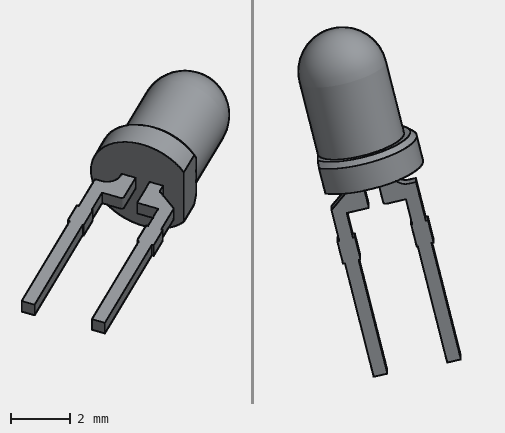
import cadquery as cq
import math


lens_radius = 1.5
housing_length = 5.2
flange_diameter = 3.8
flange_radius = flange_diameter / 2
flange_length = 1.1
flange_chamfer = 0.18
flat_x = lens_radius

lead_thickness = 0.5
lead_width = 0.48
lead_outer_x = lens_radius
lead_inner_x = lead_outer_x - lead_width
stem_inner_x = 0.26
elbow_y = -1.1
pad_front_y = -1.99
pad_back_y = -2.79

left_lead_length = 7.0
left_stem_outer_x = 0.77
left_shoulder_y = -0.59
shoulder_radius = 0.49
elbow_fillet = 0.1
left_pad_outer_step = 0.07
left_pad_inner_step = 0.04

right_lead_length = 6.9
right_stem_outer_x = 0.75
slope_start_y = -0.29
slope_end_y = -0.88
right_pad_step = 0.067


def make_housing():
    """Revolved flange, barrel and hemispherical lens, with a flat on the +X side of the flange."""
    dome_start_y = housing_length - lens_radius
    arc_offset = lens_radius * math.sqrt(0.5)
    profile = (
        cq.Workplane("XY")
        .lineTo(flange_radius, 0)
        .lineTo(flange_radius, flange_length - flange_chamfer)
        .lineTo(flange_radius - flange_chamfer, flange_length)
        .lineTo(lens_radius, flange_length)
        .lineTo(lens_radius, dome_start_y)
        .threePointArc((arc_offset, dome_start_y + arc_offset), (0, housing_length))
        .close()
    )
    body = profile.revolve(360, (0, 0, 0), (0, 1, 0))
    cut_width = flange_radius - flat_x
    flat_cutter = cq.Workplane("XY").box(
        cut_width, flange_length, 2 * flange_radius, centered=(False, False, True)
    ).translate((flat_x, 0, 0))
    return body.cut(flat_cutter)


def extrude_lead(outline):
    """Extrude a closed lead outline symmetrically about Z = 0."""
    return outline.extrude(lead_thickness / 2, both=True)


def make_pad(x_min, x_max):
    """Widened stretch of a lead."""
    outline = cq.Workplane("XY").moveTo(x_min, pad_back_y).lineTo(x_max, pad_back_y)
    return extrude_lead(outline.lineTo(x_max, pad_front_y).lineTo(x_min, pad_front_y).close())


def make_left_lead():
    """Lead with a concave round shoulder and a rounded elbow corner."""
    arc_center_x = -left_stem_outer_x - shoulder_radius
    arc_center_y = left_shoulder_y + shoulder_radius
    arc_offset = shoulder_radius * math.sqrt(0.5)
    outline = (
        cq.Workplane("XY")
        .moveTo(-stem_inner_x, 0)
        .lineTo(-left_stem_outer_x, 0)
        .lineTo(-left_stem_outer_x, arc_center_y)
        .threePointArc(
            (arc_center_x + arc_offset, arc_center_y - arc_offset),
            (arc_center_x, left_shoulder_y),
        )
        .lineTo(-lead_outer_x, left_shoulder_y)
        .lineTo(-lead_outer_x, -left_lead_length)
        .lineTo(-lead_inner_x, -left_lead_length)
        .lineTo(-lead_inner_x, elbow_y)
        .lineTo(-stem_inner_x - elbow_fillet, elbow_y)
        .radiusArc((-stem_inner_x, elbow_y + elbow_fillet), -elbow_fillet)
        .close()
    )
    pad = make_pad(-lead_outer_x - left_pad_outer_step, -lead_inner_x + left_pad_inner_step)
    return extrude_lead(outline).union(pad)


def make_right_lead():
    """Lead with a sloped shoulder."""
    outline = (
        cq.Workplane("XY")
        .moveTo(stem_inner_x, 0)
        .lineTo(right_stem_outer_x, 0)
        .lineTo(right_stem_outer_x, slope_start_y)
        .lineTo(lead_outer_x, slope_end_y)
        .lineTo(lead_outer_x, -right_lead_length)
        .lineTo(lead_inner_x, -right_lead_length)
        .lineTo(lead_inner_x, elbow_y)
        .lineTo(stem_inner_x, elbow_y)
        .close()
    )
    pad = make_pad(lead_inner_x - right_pad_step, lead_outer_x + right_pad_step)
    return extrude_lead(outline).union(pad)


housing = make_housing()
left_lead = make_left_lead()
right_lead = make_right_lead()

result = cq.Compound.makeCompound([housing.val(), left_lead.val(), right_lead.val()])